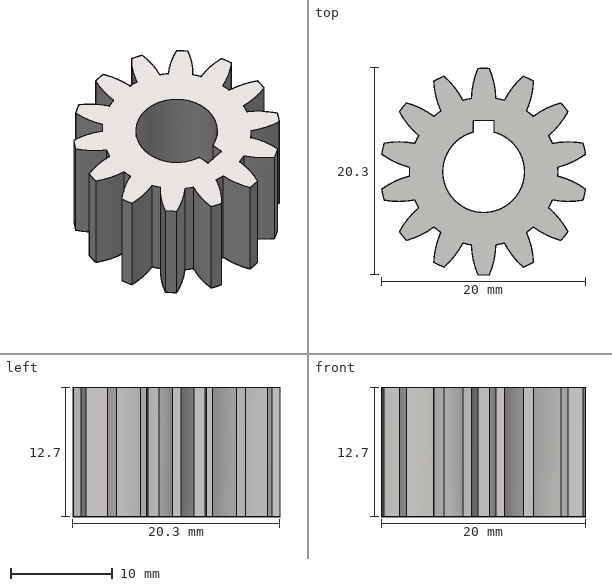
import cadquery as cq
import math

MM_PER_INCH = 25.4
TOOTH_COUNT = 14
DIAMETRAL_PITCH = 20
MODULE = MM_PER_INCH / DIAMETRAL_PITCH
DEDENDUM_FACTOR = 1.25
FACE_WIDTH = MM_PER_INCH / 2

PITCH_RADIUS = MODULE * TOOTH_COUNT / 2
TIP_RADIUS = PITCH_RADIUS + MODULE
ROOT_RADIUS = PITCH_RADIUS - DEDENDUM_FACTOR * MODULE

TIP_THICKNESS = 1.12
PITCH_THICKNESS = math.pi * MODULE / 2
ROOT_THICKNESS = 2.43

BORE_DIAMETER = 8.0
KEYWAY_WIDTH = 2.0
KEYWAY_DEPTH = 1.0
KEYWAY_TOP = BORE_DIAMETER / 2 + KEYWAY_DEPTH

TOOTH_STEP = 2 * math.pi / TOOTH_COUNT
TIP_HALF_ANGLE = TIP_THICKNESS / (2 * TIP_RADIUS)
PITCH_HALF_ANGLE = PITCH_THICKNESS / (2 * PITCH_RADIUS)
ROOT_HALF_ANGLE = ROOT_THICKNESS / (2 * ROOT_RADIUS)


def polar(radius, angle):
    """Point at a radius and an angle measured clockwise from +Y."""
    return (radius * math.sin(angle), radius * math.cos(angle))


def add_tooth(outline, center):
    """Add one tooth and the root gap after it, starting at the tooth's near root corner."""
    next_center = center + TOOTH_STEP
    return (
        outline
        .threePointArc(
            polar(PITCH_RADIUS, center - PITCH_HALF_ANGLE),
            polar(TIP_RADIUS, center - TIP_HALF_ANGLE),
        )
        .threePointArc(
            polar(TIP_RADIUS, center),
            polar(TIP_RADIUS, center + TIP_HALF_ANGLE),
        )
        .threePointArc(
            polar(PITCH_RADIUS, center + PITCH_HALF_ANGLE),
            polar(ROOT_RADIUS, center + ROOT_HALF_ANGLE),
        )
        .threePointArc(
            polar(ROOT_RADIUS, center + TOOTH_STEP / 2),
            polar(ROOT_RADIUS, next_center - ROOT_HALF_ANGLE),
        )
    )


def make_gear_blank():
    """Toothed body with one tooth centred on +Y."""
    outline = cq.Workplane("XY").moveTo(*polar(ROOT_RADIUS, -ROOT_HALF_ANGLE))
    for index in range(TOOTH_COUNT):
        outline = add_tooth(outline, index * TOOTH_STEP)
    return outline.close().extrude(FACE_WIDTH)


def make_keyed_bore():
    """Cutter for the through bore with its keyway on the +Y side."""
    bore = cq.Workplane("XY").circle(BORE_DIAMETER / 2).extrude(FACE_WIDTH)
    keyway = (
        cq.Workplane("XY")
        .center(0, KEYWAY_TOP / 2)
        .rect(KEYWAY_WIDTH, KEYWAY_TOP)
        .extrude(FACE_WIDTH)
    )
    return bore.union(keyway)


result = make_gear_blank().cut(make_keyed_bore())